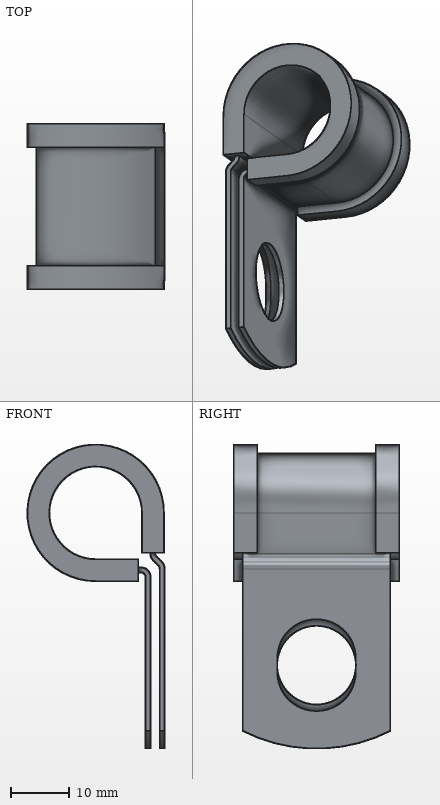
import cadquery as cq
import math

BORE_RADIUS = 7.94
CUSHION_THICKNESS = 3.81
CUSHION_LENGTH = 28.45
FLANGE_WIDTH = 4.06
GROOVE_DEPTH = 1.5
DOWN_ARM_LENGTH = 6.86
SIDE_ARM_LENGTH = 7.35
FLANGE_RADIUS = BORE_RADIUS + CUSHION_THICKNESS
BAND_RADIUS = FLANGE_RADIUS - GROOVE_DEPTH
GROOVE_WIDTH = CUSHION_LENGTH - 2 * FLANGE_WIDTH

STRAP_THICKNESS = 0.889
STRAP_WIDTH = 25.4
STRAP_RADIUS = BAND_RADIUS - STRAP_THICKNESS / 2
STRAP_EMBED = 1.0
BEND_RADIUS = 0.762 + STRAP_THICKNESS / 2
JOG_ANGLE = math.radians(45)
TAIL_GAP = 1.524
OUTER_TAIL_FACE = 11.86
OUTER_TAIL_X = OUTER_TAIL_FACE - STRAP_THICKNESS / 2
INNER_TAIL_X = OUTER_TAIL_X - STRAP_THICKNESS - TAIL_GAP
JOG_CLEARANCE = 0.1
JOG_START_Z = -(DOWN_ARM_LENGTH + JOG_CLEARANCE)

TAIL_BOTTOM_Z = -40.51
TAIL_REACH = OUTER_TAIL_FACE + STRAP_THICKNESS
TIP_RADIUS = 27.94
HOLE_DIAMETER = 13.5
HOLE_Z = -26.16
SLOT_HEIGHT = 15.8


def cushion_loop(outer_radius, length):
    """Three-quarter ring with its two straight arms, centred on Y = 0."""
    diagonal = math.sqrt(0.5)
    return (
        cq.Workplane("XZ")
        .moveTo(outer_radius, -DOWN_ARM_LENGTH)
        .lineTo(outer_radius, 0)
        .threePointArc((-outer_radius * diagonal, outer_radius * diagonal), (0, -outer_radius))
        .lineTo(SIDE_ARM_LENGTH, -outer_radius)
        .lineTo(SIDE_ARM_LENGTH, -BORE_RADIUS)
        .lineTo(0, -BORE_RADIUS)
        .threePointArc((-BORE_RADIUS * diagonal, BORE_RADIUS * diagonal), (BORE_RADIUS, 0))
        .lineTo(BORE_RADIUS, -DOWN_ARM_LENGTH)
        .close()
        .extrude(length / 2, both=True)
    )


def make_cushion():
    """Cushion with a wide groove between its two end flanges."""
    cushion = cushion_loop(BAND_RADIUS, CUSHION_LENGTH)
    for side in (-1, 1):
        flange = cushion_loop(FLANGE_RADIUS, FLANGE_WIDTH)
        cushion = cushion.union(flange.translate((0, side * (GROOVE_WIDTH + FLANGE_WIDTH) / 2, 0)))
    return cushion


def make_inner_tail():
    """Tail that leaves the side arm along +X and turns straight down."""
    start_x = SIDE_ARM_LENGTH - STRAP_EMBED
    path = (
        cq.Workplane("XZ")
        .moveTo(start_x, -STRAP_RADIUS)
        .lineTo(INNER_TAIL_X - BEND_RADIUS, -STRAP_RADIUS)
        .tangentArcPoint((BEND_RADIUS, -BEND_RADIUS))
        .lineTo(INNER_TAIL_X, TAIL_BOTTOM_Z)
    )
    section = cq.Workplane("YZ", origin=(start_x, 0, -STRAP_RADIUS))
    return section.rect(STRAP_WIDTH, STRAP_THICKNESS).sweep(path)


def make_outer_tail():
    """Tail that leaves the down arm and jogs outward before hanging straight down."""
    start_z = STRAP_EMBED - DOWN_ARM_LENGTH
    bend_dx = BEND_RADIUS * (1 - math.cos(JOG_ANGLE))
    bend_dz = BEND_RADIUS * math.sin(JOG_ANGLE)
    slope_dx = OUTER_TAIL_X - STRAP_RADIUS - 2 * bend_dx
    slope_dz = slope_dx / math.tan(JOG_ANGLE)
    path = (
        cq.Workplane("XZ")
        .moveTo(STRAP_RADIUS, start_z)
        .lineTo(STRAP_RADIUS, JOG_START_Z)
        .tangentArcPoint((bend_dx, -bend_dz))
        .line(slope_dx, -slope_dz)
        .tangentArcPoint((bend_dx, -bend_dz))
        .lineTo(OUTER_TAIL_X, TAIL_BOTTOM_Z)
    )
    section = cq.Workplane("XY", origin=(STRAP_RADIUS, 0, start_z))
    return section.rect(STRAP_THICKNESS, STRAP_WIDTH).sweep(path)


def tail_opening(height):
    """Cutter along X: a round hole, or an upright slot of the same width if the height is larger."""
    opening = cq.Workplane("YZ").center(0, HOLE_Z)
    if height > HOLE_DIAMETER:
        opening = opening.slot2D(height, HOLE_DIAMETER, 90)
    else:
        opening = opening.circle(HOLE_DIAMETER / 2)
    return opening.extrude(TAIL_REACH)


def finish_tail(tail, opening_height):
    """Round the lower end with one shallow arc and cut an opening, rounded above and below, for the bolt."""
    half_width = STRAP_WIDTH / 2
    corner_z = TAIL_BOTTOM_Z + TIP_RADIUS - math.sqrt(TIP_RADIUS**2 - half_width**2)
    envelope = (
        cq.Workplane("YZ")
        .moveTo(-half_width, 0)
        .lineTo(-half_width, corner_z)
        .threePointArc((0, TAIL_BOTTOM_Z), (half_width, corner_z))
        .lineTo(half_width, 0)
        .close()
        .extrude(TAIL_REACH)
    )
    opening = tail_opening(opening_height)
    return tail.intersect(envelope).cut(opening)


inner_tail = finish_tail(make_inner_tail(), HOLE_DIAMETER)
outer_tail = finish_tail(make_outer_tail(), SLOT_HEIGHT)
result = make_cushion().union(inner_tail).union(outer_tail)